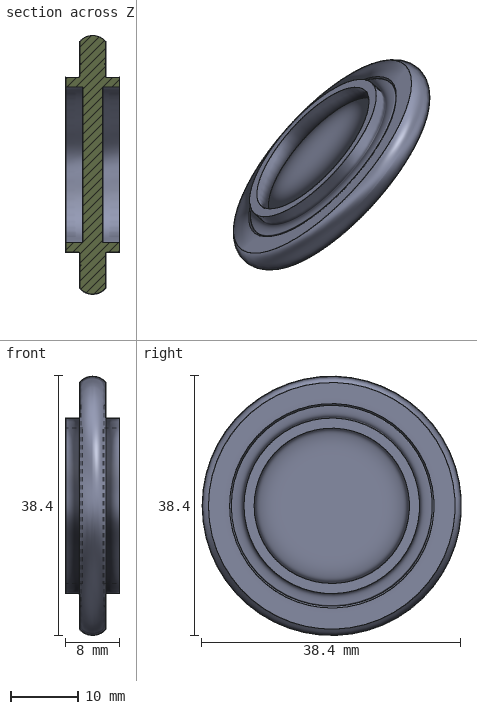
import cadquery as cq
import math


overall_width = 8.0
hub_radius = 13.0
bore_radius = 11.5
blank_thickness = 3.0
web_width = 3.9
web_radius = 14.88
web_fillet = 0.15

cord_radius = 2.5
seal_outer_radius = 19.2

half_width = overall_width / 2
half_web = web_width / 2
half_blank = blank_thickness / 2


def radial_workplane():
    """Plane with local x along the axis and local y pointing out along -Y."""
    return cq.Workplane(cq.Plane(origin=(0, 0, 0), xDir=(1, 0, 0), normal=(0, 0, -1)))


def revolve_about_x(profile):
    return profile.revolve(360, (0, 0, 0), (1, 0, 0))


def make_carrier():
    """Web and both hub collars, with a blind bore in each end."""
    fillet_middle = web_fillet * math.sqrt(0.5)
    root_centre = (half_web + web_fillet, hub_radius + web_fillet)
    edge_centre = (half_web - web_fillet, web_radius - web_fillet)
    root_middle = (root_centre[0] - fillet_middle, root_centre[1] - fillet_middle)
    edge_middle = (edge_centre[0] + fillet_middle, edge_centre[1] + fillet_middle)

    half_profile = (
        radial_workplane()
        .moveTo(0, 0)
        .lineTo(half_blank, 0)
        .lineTo(half_blank, bore_radius)
        .lineTo(half_width, bore_radius)
        .lineTo(half_width, hub_radius)
        .lineTo(root_centre[0], hub_radius)
        .threePointArc(root_middle, (half_web, root_centre[1]))
        .lineTo(half_web, edge_centre[1])
        .threePointArc(edge_middle, (edge_centre[0], web_radius))
        .lineTo(0, web_radius)
        .close()
    )
    half = revolve_about_x(half_profile)
    return half.union(half.mirror("YZ"))


def make_seal():
    """O-ring of round section, flattened on both sides to the web width."""
    cord_centre = seal_outer_radius - cord_radius
    flat_half_height = math.sqrt(cord_radius**2 - half_web**2)
    flat_top = cord_centre + flat_half_height
    flat_bottom = cord_centre - flat_half_height
    arc_x = half_web / 2
    arc_top = cord_centre + math.sqrt(cord_radius**2 - arc_x**2)

    profile = (
        radial_workplane()
        .moveTo(-half_web, flat_bottom)
        .threePointArc((0, cord_centre - cord_radius), (half_web, flat_bottom))
        .lineTo(half_web, flat_top)
        .threePointArc((arc_x, arc_top), (0, seal_outer_radius))
        .threePointArc((-arc_x, arc_top), (-half_web, flat_top))
        .close()
    )
    return revolve_about_x(profile)


result = make_carrier().union(make_seal())